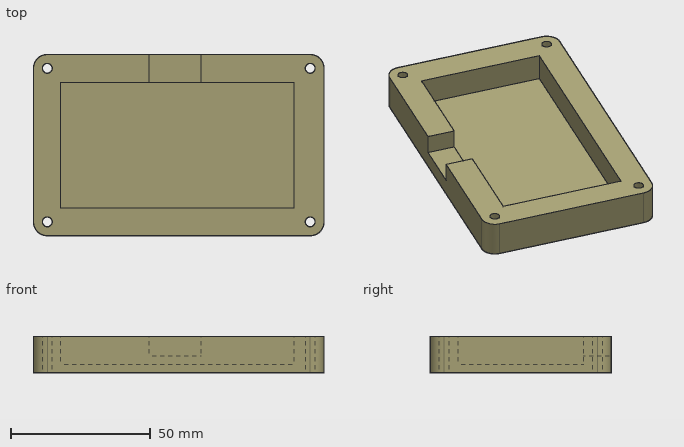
import cadquery as cq

length = 104.1
width = 65.0
height = 13.0
corner_radius = 5.0

pocket_length = 83.5
pocket_width = 45.0
floor_thickness = 3.0
pocket_center_x = -0.5

notch_width = 18.5
notch_center_x = -1.4
notch_depth = 7.0

hole_diameter = 3.4
hole_spacing_x = length - 2 * corner_radius
hole_spacing_y = width - 2 * corner_radius


def make_block():
    block = cq.Workplane("XY").box(length, width, height, centered=(True, True, False))
    return block.edges("|Z").fillet(corner_radius)


def make_pocket():
    return (
        cq.Workplane("XY", origin=(pocket_center_x, 0, floor_thickness))
        .rect(pocket_length, pocket_width)
        .extrude(height - floor_thickness)
    )


def make_notch():
    """Cutter running from the middle of the pocket out through the +Y wall."""
    return (
        cq.Workplane("XY", origin=(notch_center_x, 0, height - notch_depth))
        .box(notch_width, width / 2, notch_depth, centered=(True, False, False))
    )


def make_holes():
    return (
        cq.Workplane("XY")
        .rect(hole_spacing_x, hole_spacing_y, forConstruction=True)
        .vertices()
        .circle(hole_diameter / 2)
        .extrude(height)
    )


result = make_block().cut(make_pocket()).cut(make_notch()).cut(make_holes())